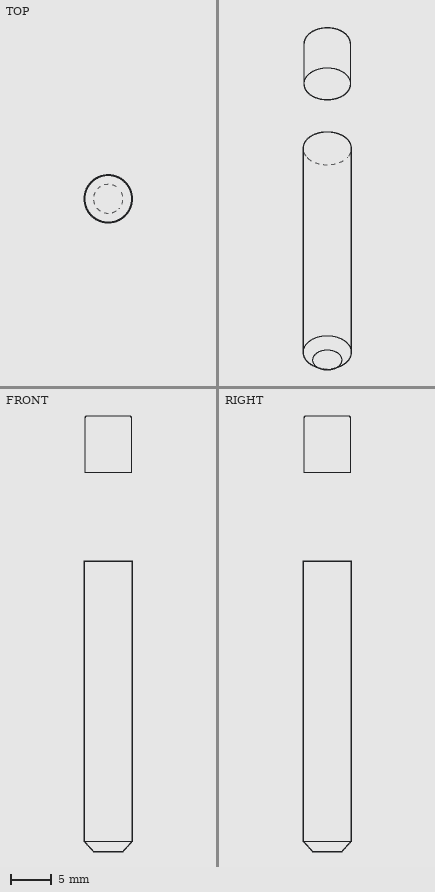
import cadquery as cq

total_height = 54.0

pin_diameter = 6.0
pin_length = 36.0
tip_diameter = 3.6
tip_height = 1.3

plug_diameter = 5.8
plug_length = 7.0
plug_edge_radius = 0.25


def make_pin():
    """Straight pin with a flat-ended conical tip at the bottom."""
    profile = [
        (0, 0),
        (tip_diameter / 2, 0),
        (pin_diameter / 2, tip_height),
        (pin_diameter / 2, pin_length),
        (0, pin_length),
    ]
    return cq.Workplane("XZ").polyline(profile).close().revolve(360, (0, 0), (0, 1))


def make_plug():
    """Short cylinder with a rounded top edge."""
    plug_bottom = total_height - plug_length
    plug = cq.Workplane("XY").workplane(offset=plug_bottom).circle(plug_diameter / 2).extrude(plug_length)
    return plug.faces(">Z").edges().fillet(plug_edge_radius)


pin = make_pin()
plug = make_plug()

result = cq.Compound.makeCompound([pin.val(), plug.val()])